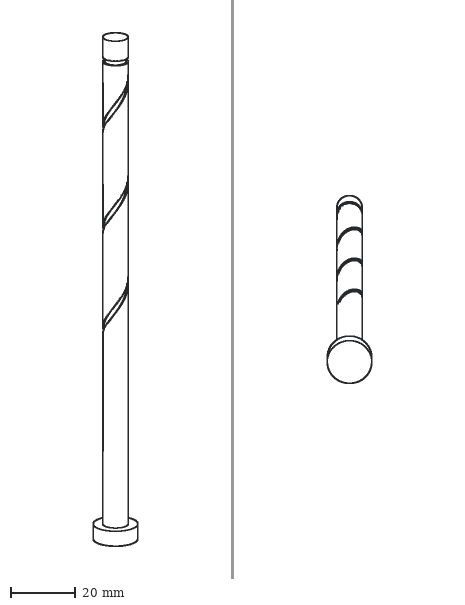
import cadquery as cq

total_length = 166.0
head_diameter = 14.0
head_height = 5.0
shaft_diameter = 8.0
shaft_radius = shaft_diameter / 2
seam_angle = 180

tip_length = 6.6
ring_groove_width = 1.5
ring_groove_diameter = 6.6
ring_groove_bottom = total_length - tip_length - ring_groove_width

helix_pitch = 33.4
helix_turns = 3
helix_groove_width = 1.5
helix_groove_depth = 0.5
helix_cutter_overlap = 0.5
helix_start_angle = 90
helix_drop = 0.3
helix_top = ring_groove_bottom - helix_drop
helix_length = helix_pitch * helix_turns


def make_pin():
    """Plain shaft standing on a round head."""
    head = cq.Workplane("XY").circle(head_diameter / 2).extrude(head_height)
    shaft = cq.Workplane("XY").circle(shaft_radius).extrude(total_length)
    return head.union(shaft).rotate((0, 0, 0), (0, 0, 1), seam_angle)


def make_ring_groove():
    """Ring-shaped cutter around the shaft."""
    return (
        cq.Workplane("XY")
        .workplane(offset=ring_groove_bottom)
        .circle(head_diameter / 2)
        .circle(ring_groove_diameter / 2)
        .extrude(ring_groove_width)
    )


def make_helical_groove():
    """Rectangular cutter swept along a helix, in its place on the shaft."""
    path = cq.Wire.makeHelix(helix_pitch, helix_length, shaft_radius)
    section_plane = cq.Plane(origin=path.startPoint(), xDir=(1, 0, 0), normal=path.tangentAt(0))
    section_height = helix_groove_depth + helix_cutter_overlap
    section_center = (helix_cutter_overlap - helix_groove_depth) / 2
    cutter = (
        cq.Workplane(section_plane)
        .center(section_center, 0)
        .rect(section_height, helix_groove_width)
        .sweep(cq.Workplane(path), isFrenet=True)
    )
    return cutter.rotate((0, 0, 0), (0, 0, 1), helix_start_angle).translate((0, 0, helix_top - helix_length))


result = make_pin().cut(make_ring_groove()).cut(make_helical_groove())